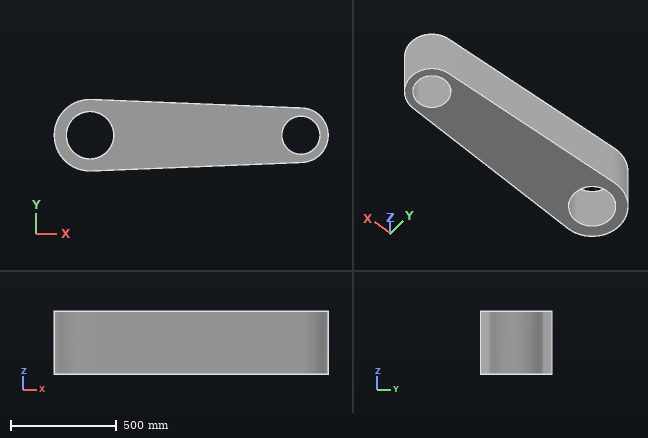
import cadquery as cq
import math

length = 1300.0
thickness = 300.0
large_end_radius = 170.0
small_end_radius = 130.0
large_bore_diameter = 224.0
small_bore_diameter = 180.0
center_distance = length - large_end_radius - small_end_radius

side_start_distance = math.hypot(center_distance, small_end_radius)
side_start_angle = math.atan2(small_end_radius, center_distance)
tangent_angle = side_start_angle + math.acos(large_end_radius / side_start_distance)


def large_end_point(angle, side):
    """Point on the large round end; side is +1 or -1 along Y."""
    return (large_end_radius * math.cos(angle), side * large_end_radius * math.sin(angle))


quarter_turn = math.pi / 2
short_arc_middle = (quarter_turn + tangent_angle) / 2

body = (
    cq.Workplane("XY")
    .moveTo(*large_end_point(tangent_angle, 1))
    .threePointArc(large_end_point(short_arc_middle, 1), (0, large_end_radius))
    .threePointArc((-large_end_radius, 0), (0, -large_end_radius))
    .threePointArc(large_end_point(short_arc_middle, -1), large_end_point(tangent_angle, -1))
    .lineTo(center_distance, -small_end_radius)
    .threePointArc((center_distance + small_end_radius, 0), (center_distance, small_end_radius))
    .close()
    .extrude(thickness)
)


def cut_bore(solid, center_x, diameter):
    """Cut a vertical through bore on the centreline."""
    bore = cq.Workplane("XY").center(center_x, 0).circle(diameter / 2).extrude(thickness)
    return solid.cut(bore)


result = cut_bore(body, 0, large_bore_diameter)
result = cut_bore(result, center_distance, small_bore_diameter)